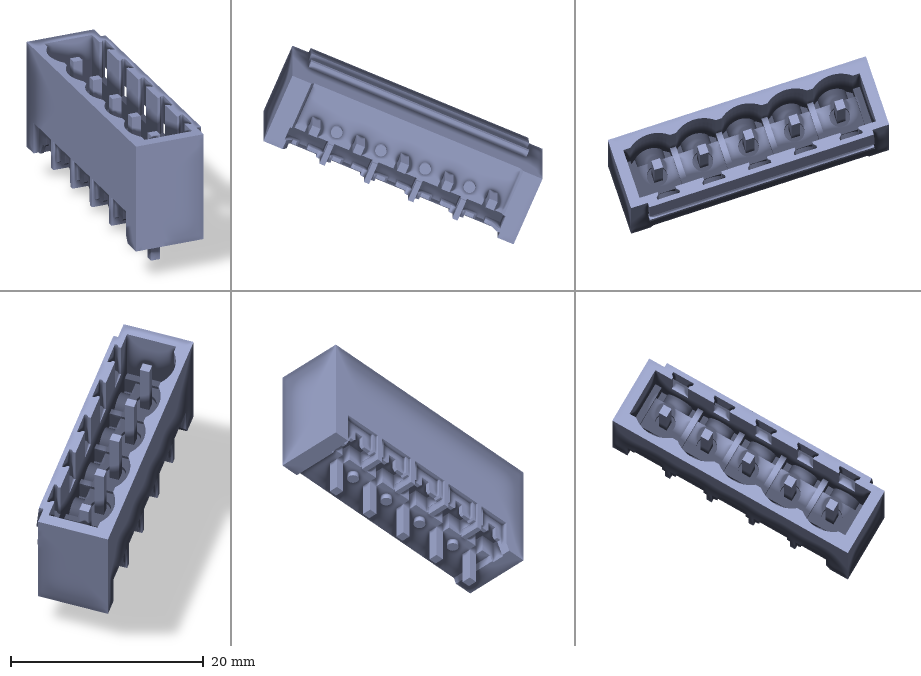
import cadquery as cq


LENGTH = 28.2
DEPTH = 7.65
HEIGHT = 11.98
CAVITY_END_WALL = 1.18
CAVITY_FRONT = 1.52
CAVITY_REAR = 6.88

CONTACTS = 5
PITCH = 5.0
PIN_WIDTH = 0.93
PIN_DEPTH = 1.02
PIN_Y = 3.84
PIN_TOP = 11.03
TAIL_LENGTH = 3.21

CELL_WIDTH = 4.35
SCALLOP_FRONT = 0.75
BLOCK_FRONT = 2.28
BLOCK_REAR = 5.7
DIVIDER_TOP = 5.7
BLOCK_TOP = 5.35
TROUGH_FLOOR = 3.67
BARREL_RADIUS = 1.52
COUNTERBORE_DIAMETER = 2.15
COUNTERBORE_DEPTH = 0.42

KEYWAY_WIDE = 2.48
KEYWAY_NARROW = 1.95
KEYWAY_BOTTOM = 7.75
KEYWAY_LIP = 0.25

LATCH_LENGTH = 24.53
LATCH_TOP_REACH = 0.5
LATCH_BOTTOM_REACH = 0.8
LATCH_HEIGHT = 3.13
BAR_REACH = 0.68
BAR_BOTTOM = 6.0
BAR_HEIGHT = 0.73

CHANNEL_BOTTOM_LENGTH = 23.9
CHANNEL_SLOPE_RUN = 0.73
FRONT_WALL_BOTTOM = 1.35
BLOCK_BOTTOM = 0.6
POCKET_CEILING = 2.6
POCKET_FRONT = 1.02
POCKET_REAR = 2.45

RECESS_LEFT = 1.8
RECESS_RIGHT = 25.6
RECESS_TOP = 3.5
PILASTER_WIDTH = 1.64
PILASTER_SETBACK = 0.25
PANEL_SETBACK = 0.6
PILASTER_TIP_WIDTH = 1.18
PILASTER_TIP_BOTTOM = 1.18
RIB_WIDTH = 0.6
RIB_BOTTOM = 0.25
NOTCH_WIDTH = 1.02
NOTCH_CHAMFER = 0.25
PEG_DIAMETER = 1.2

CONTACT_XS = [LENGTH / 2 + (i - (CONTACTS - 1) / 2) * PITCH for i in range(CONTACTS)]
GAP_XS = [x + PITCH / 2 for x in CONTACT_XS[:-1]]


def box(x0, x1, y0, y1, z0, z1):
    """Axis-aligned block between opposite corners."""
    return cq.Workplane("XY").box(x1 - x0, y1 - y0, z1 - z0, centered=False).translate((x0, y0, z0))


def front_profile(points, y0, y1):
    """Polygon of (x, z) points extruded from y0 to y1."""
    return cq.Workplane("XZ", origin=(0, y0, 0)).polyline(points).close().extrude(y0 - y1)


def cell_prism(x):
    """Upright contact cell with a bowed front, from the trough floor to the mating opening."""
    half = CELL_WIDTH / 2
    return (
        cq.Workplane("XY", origin=(x, 0, TROUGH_FLOOR))
        .moveTo(-half, CAVITY_FRONT)
        .threePointArc((0, SCALLOP_FRONT), (half, CAVITY_FRONT))
        .lineTo(half, CAVITY_REAR)
        .lineTo(-half, CAVITY_REAR)
        .close()
        .extrude(HEIGHT - TROUGH_FLOOR)
    )


def channel(top, y0, y1):
    """Trapezoidal clearance between the end feet, sharing one pair of sloped sides."""
    half_bottom = CHANNEL_BOTTOM_LENGTH / 2
    half_top = half_bottom - CHANNEL_SLOPE_RUN * top / FRONT_WALL_BOTTOM
    middle = LENGTH / 2
    points = [
        (middle - half_bottom, 0),
        (middle - half_top, top),
        (middle + half_top, top),
        (middle + half_bottom, 0),
    ]
    return front_profile(points, y0, y1)


def panel_spans():
    """X ranges of the deep recess panels between the pilasters."""
    half = PILASTER_WIDTH / 2
    starts = [RECESS_LEFT] + [x + half for x in GAP_XS]
    ends = [x - half for x in GAP_XS] + [RECESS_RIGHT]
    return list(zip(starts, ends))


def cut_mating_cavity(body):
    body = body.cut(
        box(CAVITY_END_WALL, LENGTH - CAVITY_END_WALL, CAVITY_FRONT, CAVITY_REAR, DIVIDER_TOP, HEIGHT)
    )
    for x in CONTACT_XS:
        body = body.cut(cell_prism(x))
    return body


def add_cell_floor(body, x):
    """Half-round barrel across the trough, and the block that carries the pin."""
    half = CELL_WIDTH / 2
    barrel = (
        cq.Workplane("XZ", origin=(x, 0, TROUGH_FLOOR))
        .moveTo(-BARREL_RADIUS, 0)
        .threePointArc((0, BARREL_RADIUS), (BARREL_RADIUS, 0))
        .close()
        .extrude(-CAVITY_REAR)
        .intersect(cell_prism(x))
    )
    block = box(x - half, x + half, BLOCK_FRONT, BLOCK_REAR, TROUGH_FLOOR, BLOCK_TOP)
    counterbore = (
        cq.Workplane("XY", origin=(x, PIN_Y, BLOCK_TOP))
        .circle(COUNTERBORE_DIAMETER / 2)
        .extrude(-COUNTERBORE_DEPTH)
    )
    return body.union(barrel).union(block).cut(counterbore)


def add_latch(body):
    """Undercut ledge along the top of the rear face, and a plain bar below it."""
    x0 = (LENGTH - LATCH_LENGTH) / 2
    ledge = (
        cq.Workplane("YZ", origin=(x0, 0, 0))
        .polyline(
            [
                (CAVITY_REAR, HEIGHT),
                (DEPTH + LATCH_TOP_REACH, HEIGHT),
                (DEPTH + LATCH_BOTTOM_REACH, HEIGHT - LATCH_HEIGHT),
                (CAVITY_REAR, HEIGHT - LATCH_HEIGHT),
            ]
        )
        .close()
        .extrude(LATCH_LENGTH)
    )
    bar = box(
        x0, x0 + LATCH_LENGTH, CAVITY_REAR, DEPTH + BAR_REACH, BAR_BOTTOM, BAR_BOTTOM + BAR_HEIGHT
    )
    return body.union(ledge).union(bar)


def cut_keyway(body, x):
    """Dovetail slot from the cavity to the plane of the rear face, open below the latch."""
    wide = KEYWAY_WIDE / 2
    narrow = KEYWAY_NARROW / 2
    taper_rear = DEPTH - KEYWAY_LIP
    taper_front = CAVITY_REAR + KEYWAY_LIP
    outline = [
        (-narrow, CAVITY_REAR),
        (-narrow, taper_front),
        (-wide, taper_rear),
        (-wide, DEPTH),
        (wide, DEPTH),
        (wide, taper_rear),
        (narrow, taper_front),
        (narrow, CAVITY_REAR),
    ]
    keyway = (
        cq.Workplane("XY", origin=(x, 0, KEYWAY_BOTTOM))
        .polyline(outline)
        .close()
        .extrude(HEIGHT - KEYWAY_BOTTOM)
    )
    return body.cut(keyway)


def cut_front_recess(body):
    """Shallow recess in the lower front wall, deeper in the panels between the pilasters."""
    body = body.cut(box(RECESS_LEFT, RECESS_RIGHT, 0, PILASTER_SETBACK, 0, RECESS_TOP))
    for start, end in panel_spans():
        body = body.cut(box(start, end, 0, PANEL_SETBACK, 0, RECESS_TOP))
    return body


def add_pilaster_tip(body, x):
    """Tapered lower end of a pilaster, below the edge of the front wall."""
    half = PILASTER_WIDTH / 2
    half_tip = PILASTER_TIP_WIDTH / 2
    points = [
        (x - half, FRONT_WALL_BOTTOM),
        (x - half_tip, PILASTER_TIP_BOTTOM),
        (x + half_tip, PILASTER_TIP_BOTTOM),
        (x + half, FRONT_WALL_BOTTOM),
    ]
    return body.union(front_profile(points, PILASTER_SETBACK, BLOCK_FRONT))


def add_rib(body, x):
    """Thin upright rib flush with the front face, reaching back to the pin block."""
    half = RIB_WIDTH / 2
    return body.union(box(x - half, x + half, 0, BLOCK_FRONT, RIB_BOTTOM, RECESS_TOP))


def add_peg(body, x):
    """Round standoff under the pin block, level with the feet."""
    peg = cq.Workplane("XY", origin=(x, PIN_Y, 0)).circle(PEG_DIAMETER / 2).extrude(BLOCK_BOTTOM)
    return body.union(peg)


def cut_underside_pocket(body, x):
    """Pocket open downward between the front wall and the pin block."""
    half = CELL_WIDTH / 2
    return body.cut(box(x - half, x + half, POCKET_FRONT, POCKET_REAR, 0, POCKET_CEILING))


def cut_pin_notch(body, x):
    """Slot from the front up to the pin, flared at the lower edge of the front wall."""
    half = NOTCH_WIDTH / 2
    flare = half + NOTCH_CHAMFER
    pin_front = PIN_Y - PIN_DEPTH / 2
    slot = box(x - half, x + half, 0, pin_front, 0, POCKET_CEILING)
    flare_points = [
        (x - flare, FRONT_WALL_BOTTOM),
        (x - half, FRONT_WALL_BOTTOM + NOTCH_CHAMFER),
        (x + half, FRONT_WALL_BOTTOM + NOTCH_CHAMFER),
        (x + flare, FRONT_WALL_BOTTOM),
    ]
    return body.cut(slot).cut(front_profile(flare_points, 0, BLOCK_FRONT))


def make_pin(x):
    """Straight rectangular contact pin with its solder tail."""
    half_width = PIN_WIDTH / 2
    half_depth = PIN_DEPTH / 2
    return box(
        x - half_width, x + half_width, PIN_Y - half_depth, PIN_Y + half_depth, -TAIL_LENGTH, PIN_TOP
    )


def make_housing():
    body = box(0, LENGTH, 0, DEPTH, 0, HEIGHT)
    body = cut_mating_cavity(body)
    body = add_latch(body)
    body = body.cut(channel(BLOCK_BOTTOM, 0, DEPTH))
    body = body.cut(channel(FRONT_WALL_BOTTOM, 0, BLOCK_FRONT))
    body = cut_front_recess(body)
    for x in GAP_XS:
        body = add_pilaster_tip(body, x)
    for x in CONTACT_XS:
        body = add_cell_floor(body, x)
        body = cut_keyway(body, x)
        body = cut_underside_pocket(body, x)
        body = cut_pin_notch(body, x)
        body = body.cut(make_pin(x))
    for x in GAP_XS:
        body = add_rib(body, x)
        body = add_peg(body, x)
    return body


housing = make_housing()
pins = [make_pin(x) for x in CONTACT_XS]

result = cq.Compound.makeCompound([housing.val(), *[pin.val() for pin in pins]])